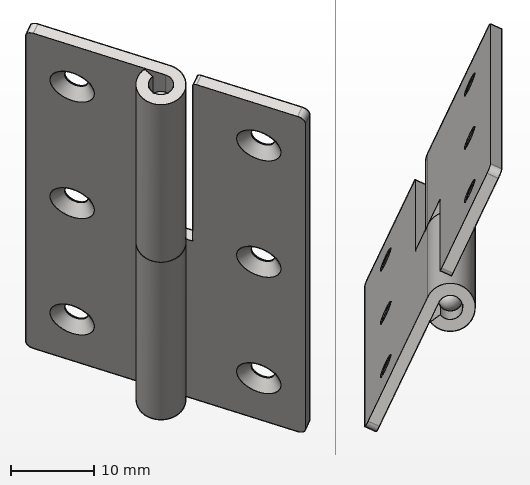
import cadquery as cq
import math

hinge_width = 36.0
hinge_height = 65.0
leaf_thickness = 1.5
outer_corner_radius = 1.0
inner_corner_radius = 0.5

pin_radius = 1.5
knuckle_radius = pin_radius + leaf_thickness
knuckle_clearance = 0.5
curl_end_angle = math.radians(152)

pin_recess = 2.5

hole_diameter = 3.0
countersink_diameter = 5.7
countersink_angle = 90.0
hole_x = 12.0
hole_pitch = 24.0

half_width = hinge_width / 2
half_height = hinge_height / 2
leaf_edge_x = knuckle_radius + knuckle_clearance
leaf_front_y = pin_radius
leaf_back_y = knuckle_radius


def on_circle(radius, angle):
    return (radius * math.cos(angle), radius * math.sin(angle))


def make_plate():
    """Flat left part of a leaf, full height, ending clear of the other leaf's knuckle."""
    return (
        cq.Workplane("XY")
        .box(half_width - leaf_edge_x, leaf_thickness, hinge_height, centered=False)
        .translate((-half_width, leaf_front_y, -half_height))
        .edges("|Y and <X").fillet(outer_corner_radius)
        .edges("|Y and >X and <Z").fillet(inner_corner_radius)
    )


def make_rolled_knuckle():
    """Sheet that leaves the plate tangentially and rolls over the pin, on the upper half."""
    front = -math.pi / 2
    return (
        cq.Workplane("XY")
        .moveTo(-leaf_edge_x, leaf_back_y)
        .lineTo(0, leaf_back_y)
        .threePointArc(on_circle(knuckle_radius, 0), on_circle(knuckle_radius, front))
        .threePointArc(on_circle(knuckle_radius, math.pi), on_circle(knuckle_radius, curl_end_angle))
        .lineTo(*on_circle(pin_radius, curl_end_angle))
        .threePointArc(on_circle(pin_radius, math.pi), on_circle(pin_radius, front))
        .threePointArc(on_circle(pin_radius, 0), (0, leaf_front_y))
        .lineTo(-leaf_edge_x, leaf_front_y)
        .close()
        .extrude(half_height)
    )


def cut_screw_holes(leaf):
    """Holes countersunk from the knuckle side of the leaf."""
    centers = [(-hole_x, row * hole_pitch) for row in (-1, 0, 1)]
    return (
        leaf.copyWorkplane(cq.Workplane("XZ", origin=(0, leaf_front_y, 0)))
        .pushPoints(centers)
        .cskHole(hole_diameter, countersink_diameter, countersink_angle, leaf_thickness)
    )


def make_leaf():
    """Left leaf with the upper knuckle."""
    return cut_screw_holes(make_plate().union(make_rolled_knuckle()))


def make_pin():
    """Round pin with a hemispherical end at the top and bottom."""
    tip_z = half_height - pin_recess
    shoulder_z = tip_z - pin_radius
    tip_arc_mid = pin_radius * math.sqrt(0.5)
    return (
        cq.Workplane("XZ")
        .moveTo(0, -tip_z)
        .threePointArc((tip_arc_mid, -shoulder_z - tip_arc_mid), (pin_radius, -shoulder_z))
        .lineTo(pin_radius, shoulder_z)
        .threePointArc((tip_arc_mid, shoulder_z + tip_arc_mid), (0, tip_z))
        .close()
        .revolve(360, (0, 0), (0, 1))
    )


leaves = [make_leaf().rotate((0, 0, 0), (0, 1, 0), turn) for turn in (0, 180)]
pin = make_pin()

result = cq.Compound.makeCompound([*(leaf.val() for leaf in leaves), pin.val()])